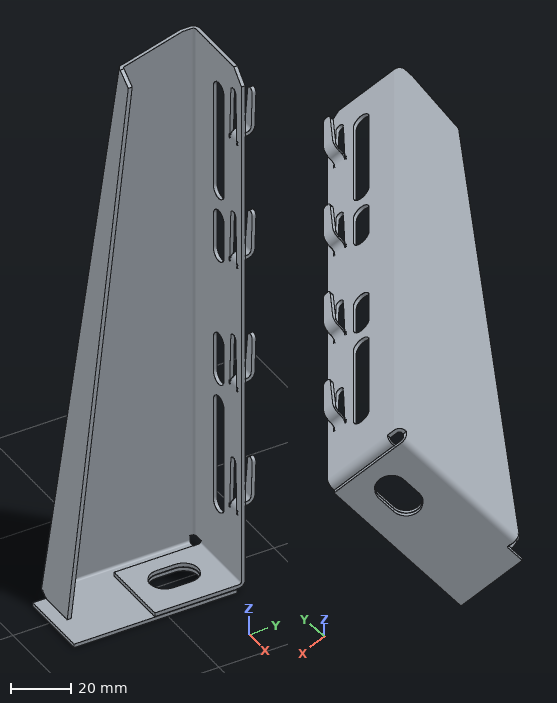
import cadquery as cq
import math


height = 210.3
width = 32.5
foot_depth = 65.6

sheet = 1.5
inner_radius = 1.0
outer_radius = inner_radius + sheet
clearance = 2.0

diagonal = math.sqrt(0.5)

wall_top_flat = 6.0
wall_front_height = 204.0
wall_front_top = 29.7
wall_front_bottom = 60.8
front_slope = (wall_front_bottom - wall_front_top) / height
front_tilt = math.atan(front_slope)

flange_width_top = 8.8
flange_width_bottom = 19.3
flange_height = 200.6

rear_relief_depth = 3.2
front_relief_depth = 58.3
front_relief_height = 3.0
foot_left = 5.0

upper_foot_gap = 0.2
upper_foot_left = 5.7
upper_foot_depth = 34.7
upper_foot_bottom = sheet + upper_foot_gap
back_wall_bottom = upper_foot_bottom + outer_radius

back_chamfer = 5.0
slot_x = 17.5
slot_width = 7.0
long_slot_length = 47.0
short_slot_length = 20.5
slot_pitch = 38.7
upper_long_slot_z = 174.1
lower_long_slot_z = 46.7
long_and_short_slots = (
    (upper_long_slot_z, long_slot_length),
    (upper_long_slot_z - slot_pitch, short_slot_length),
    (lower_long_slot_z + slot_pitch, short_slot_length),
    (lower_long_slot_z, long_slot_length),
)

foot_slot_width = 11.1
foot_slot_length = 18.3
foot_slot_y = -18.5

hook_count = 4
hook_pitch = 50.0
hook_x = 27.1
top_hook_root_z = 179.8
hook_root_radius = 2.0
hook_level_length = 0.2
hook_bend_radius = 1.9
hook_tilt = math.radians(3)
hook_height = 19.5
hook_root_width = 4.6
hook_tip_width = 3.2
opening_height = 21.5
notch_width = 5.7
notch_height = 1.3


def front_depth(z):
    """Depth of the sloping front line at height z."""
    return wall_front_bottom - front_slope * z


def block(x_min, x_max, y_min, y_max, z_min, z_max):
    """Box between the given limits."""
    return cq.Workplane("XY").box(
        x_max - x_min, y_max - y_min, z_max - z_min, centered=False
    ).translate((x_min, y_min, z_min))


def round_bends(body, radius):
    """Round the rear, front and bottom edges along the side wall."""
    return body.faces("<X").edges(">Y or <Y or <Z").fillet(radius)


def make_folded_shell():
    """Back wall, side wall, full-width front flange and lower foot."""
    outside = (
        cq.Workplane("YZ")
        .moveTo(0, 0)
        .lineTo(0, height)
        .lineTo(-wall_top_flat, height)
        .lineTo(-front_depth(wall_front_height) + outer_radius, wall_front_height)
        .lineTo(-front_depth(wall_front_height), wall_front_height)
        .lineTo(-wall_front_bottom, 0)
        .close()
        .extrude(width)
    )
    flange_run = sheet / math.cos(front_tilt)
    inside_top = height + clearance
    inside = (
        cq.Workplane("YZ", origin=(sheet, 0, 0))
        .moveTo(-sheet, sheet)
        .lineTo(-sheet, inside_top)
        .lineTo(-front_depth(inside_top) + flange_run, inside_top)
        .lineTo(-front_depth(sheet) + flange_run, sheet)
        .close()
        .extrude(width)
    )
    return round_bends(outside, outer_radius).cut(round_bends(inside, inner_radius))


def make_flange_trim():
    """Everything right of and above the front flange, between the back wall and the foot."""
    return (
        cq.Workplane("XZ", origin=(0, -outer_radius, 0))
        .moveTo(flange_width_bottom, sheet)
        .lineTo(flange_width_top, flange_height)
        .lineTo(outer_radius, wall_front_height)
        .lineTo(outer_radius, height + clearance)
        .lineTo(width + clearance, height + clearance)
        .lineTo(width + clearance, sheet)
        .close()
        .extrude(foot_depth)
    )


def make_front_relief():
    """Clearance with a slanted end where the front flange meets the foot."""
    return (
        cq.Workplane("XZ", origin=(0, -front_relief_depth, 0))
        .lineTo(0, front_relief_height)
        .lineTo(outer_radius, front_relief_height)
        .lineTo(foot_left, sheet)
        .lineTo(foot_left, 0)
        .close()
        .extrude(foot_depth - front_relief_depth)
    )


def make_upper_foot():
    """Bend below the back wall and the short foot that follows it."""
    top = upper_foot_bottom + sheet
    return (
        cq.Workplane("YZ", origin=(upper_foot_left, 0, 0))
        .moveTo(0, back_wall_bottom)
        .threePointArc(
            (-outer_radius * (1 - diagonal), back_wall_bottom - outer_radius * diagonal),
            (-outer_radius, upper_foot_bottom),
        )
        .lineTo(-upper_foot_depth, upper_foot_bottom)
        .lineTo(-upper_foot_depth, top)
        .lineTo(-outer_radius, top)
        .threePointArc(
            (-outer_radius + inner_radius * diagonal, back_wall_bottom - inner_radius * diagonal),
            (-sheet, back_wall_bottom),
        )
        .close()
        .extrude(width - upper_foot_left)
    )


def make_hook_outline(root_z, total_height):
    """Tapered finger outline with a round tip, extruded through the wall and the hook."""
    tip_radius = hook_tip_width / 2
    tip_z = root_z + total_height
    reach = foot_depth / 2
    return (
        cq.Workplane("XZ", origin=(hook_x, reach, 0))
        .moveTo(-hook_root_width / 2, root_z)
        .lineTo(-tip_radius, tip_z - tip_radius)
        .threePointArc((0, tip_z), (tip_radius, tip_z - tip_radius))
        .lineTo(hook_root_width / 2, root_z)
        .close()
        .extrude(2 * reach)
    )


def make_hook_opening(root_z):
    """Window left in the back wall by a hook, notched at its root."""
    notch = block(
        hook_x - notch_width / 2, hook_x + notch_width / 2,
        -sheet, 0,
        root_z, root_z + notch_height,
    )
    wall_slab = block(0, width, -sheet, 0, root_z, root_z + opening_height)
    return make_hook_outline(root_z, opening_height).intersect(wall_slab).union(notch)


def make_hook(root_z):
    """Sheet strip that leaves the wall, turns level and then turns up into a finger."""
    root_outer = hook_root_radius + sheet
    bend_outer = hook_bend_radius + sheet
    level_start = hook_root_radius
    level_end = level_start + hook_level_length
    bend_z = root_z + root_outer + hook_bend_radius
    bend_end = -hook_tilt
    bend_middle = (bend_end - math.pi / 2) / 2

    def on_bend(radius, angle):
        return (level_end + radius * math.cos(angle), bend_z + radius * math.sin(angle))

    def at_tip(radius):
        y, z = on_bend(radius, bend_end)
        tip_z = root_z + hook_height
        return (y + (tip_z - z) * math.tan(hook_tilt), tip_z)

    strip = (
        cq.Workplane("YZ", origin=(hook_x, 0, 0))
        .moveTo(0, root_z)
        .threePointArc(
            (level_start - hook_root_radius * diagonal, root_z + hook_root_radius * diagonal),
            (level_start, root_z + hook_root_radius),
        )
        .lineTo(level_end, root_z + hook_root_radius)
        .threePointArc(on_bend(bend_outer, bend_middle), on_bend(bend_outer, bend_end))
        .lineTo(*at_tip(bend_outer))
        .lineTo(*at_tip(hook_bend_radius))
        .lineTo(*on_bend(hook_bend_radius, bend_end))
        .threePointArc(
            on_bend(hook_bend_radius, bend_middle),
            (level_end, root_z + root_outer),
        )
        .lineTo(level_start, root_z + root_outer)
        .threePointArc(
            (level_start - root_outer * diagonal, root_z + root_outer * diagonal),
            (-sheet, root_z),
        )
        .close()
        .extrude(hook_root_width / 2, both=True)
    )
    return strip.intersect(make_hook_outline(root_z, hook_height))


bracket = make_folded_shell().cut(make_flange_trim())

bracket = bracket.cut(block(0, width, -rear_relief_depth, 0, 0, back_wall_bottom))
bracket = bracket.cut(make_front_relief())

bracket = bracket.union(
    block(foot_left, width, -foot_depth, -front_relief_depth, 0, sheet)
)
bracket = bracket.union(make_upper_foot())
foot_slot = (
    cq.Workplane("XY")
    .center(slot_x, foot_slot_y)
    .slot2D(foot_slot_length, foot_slot_width, 90)
    .extrude(upper_foot_bottom + sheet)
)
bracket = bracket.cut(foot_slot)

bracket = bracket.edges("|Y").edges(">X and >Z").chamfer(back_chamfer)

for slot_z, slot_length in long_and_short_slots:
    slot = (
        cq.Workplane("XZ")
        .center(slot_x, slot_z)
        .slot2D(slot_length, slot_width, 90)
        .extrude(sheet)
    )
    bracket = bracket.cut(slot)

for index in range(hook_count):
    hook_root_z = top_hook_root_z - index * hook_pitch
    bracket = bracket.cut(make_hook_opening(hook_root_z))
    bracket = bracket.union(make_hook(hook_root_z))

result = bracket